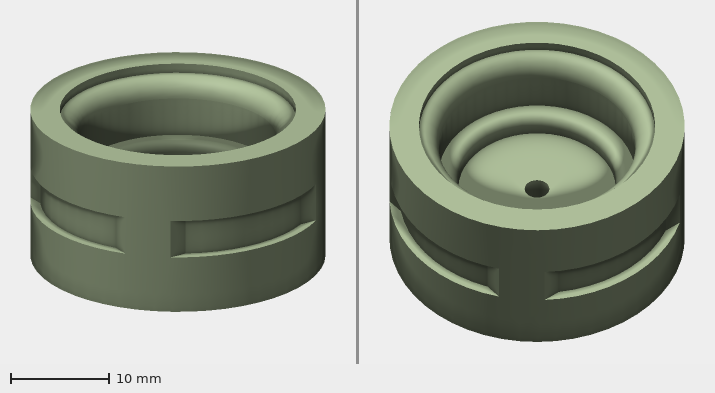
import math

import cadquery as cq

outer_radius = 15.0
height = 16.0

mouth_radius = 12.0
mouth_depth = 1.0
bore_radius = 10.0
bore_depth = 7.0
recess_radius = 9.0
pocket_radius = 8.0
pocket_depth = 9.0
hole_radius = 1.25

mouth_rounding = mouth_radius - bore_radius
pocket_rounding = recess_radius - pocket_radius

slot_count = 4
slot_height = 4.0
slot_floor_radius = 14.0
slot_half_angle = 30.0


def rounding_midpoint(inner_radius, bottom_z, rounding):
    """Middle of a convex quarter arc that ends tangent to the wall at inner_radius."""
    arc_reach = rounding * math.sqrt(0.5)
    return (inner_radius + rounding - arc_reach, bottom_z + arc_reach)


def make_body():
    """Revolve the half section, with the stepped bore and centre hole, about Z."""
    mouth_z = height - mouth_depth
    bore_top_z = mouth_z - mouth_rounding
    bore_floor_z = height - bore_depth
    pocket_top_z = bore_floor_z - pocket_rounding
    pocket_floor_z = height - pocket_depth
    return (
        cq.Workplane("XZ")
        .moveTo(hole_radius, 0)
        .lineTo(outer_radius, 0)
        .lineTo(outer_radius, height)
        .lineTo(mouth_radius, height)
        .lineTo(mouth_radius, mouth_z)
        .threePointArc(
            rounding_midpoint(bore_radius, bore_top_z, mouth_rounding),
            (bore_radius, bore_top_z),
        )
        .lineTo(bore_radius, bore_floor_z)
        .lineTo(recess_radius, bore_floor_z)
        .threePointArc(
            rounding_midpoint(pocket_radius, pocket_top_z, pocket_rounding),
            (pocket_radius, pocket_top_z),
        )
        .lineTo(pocket_radius, pocket_floor_z)
        .lineTo(hole_radius, pocket_floor_z)
        .close()
        .revolve(360, (0, 0), (0, 1))
    )


def make_slot_cutter():
    """Region outside the slot floor cylinder and beyond the flat end walls, on the +X side."""
    end_wall_x = slot_floor_radius * math.cos(math.radians(slot_half_angle))
    slot_bottom_z = (height - slot_height) / 2
    block = (
        cq.Workplane("XY", origin=(end_wall_x, 0, slot_bottom_z))
        .box(outer_radius, 2 * outer_radius, slot_height, centered=(False, True, False))
    )
    floor_core = cq.Workplane("XY").circle(slot_floor_radius).extrude(height)
    return block.cut(floor_core)


def cut_slots(body):
    """Cut the equally spaced side slots."""
    cutter = make_slot_cutter()
    for index in range(slot_count):
        angle = index * 360 / slot_count
        body = body.cut(cutter.rotate((0, 0, 0), (0, 0, 1), angle))
    return body


result = cut_slots(make_body())